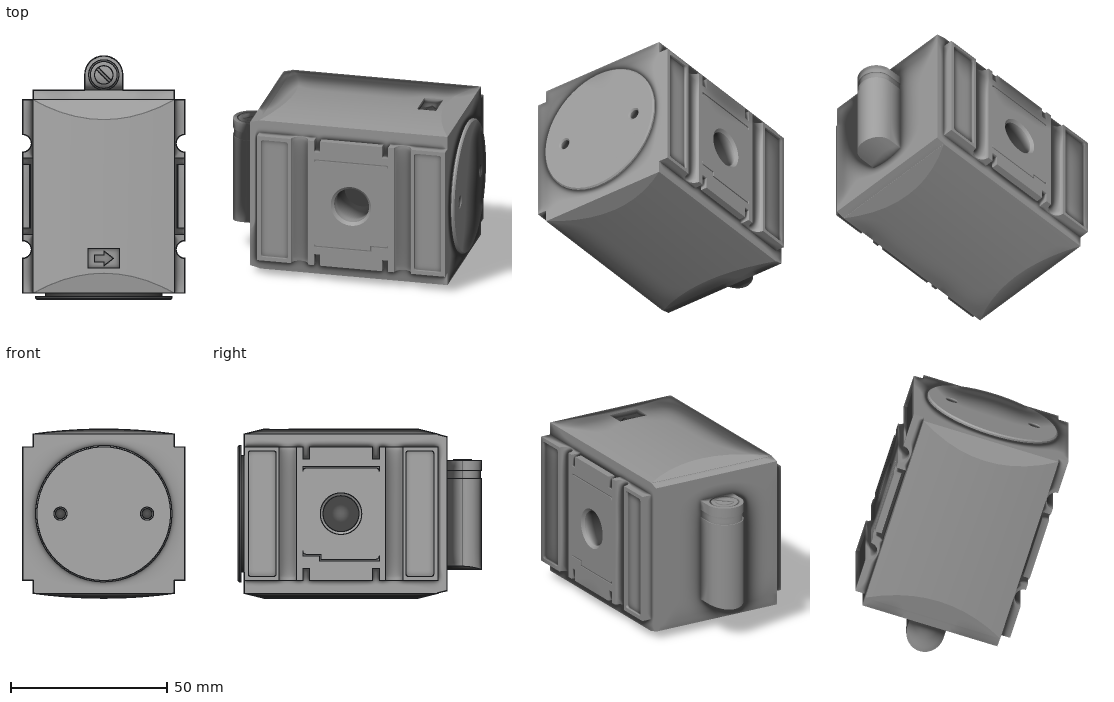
import cadquery as cq


body_width = 45.3
body_length = 62.0
body_edge_height = 51.0
crown_height = 54.19
crown_slope_run = 6.4
half_length = body_length / 2
crown_rise = (crown_height - body_edge_height) / 2
crown_slope = crown_rise / crown_slope_run

cover_length = 3.0
cover_step = 0.1
cover_back = half_length + cover_length

plate_outer_x = 26.0
plate_height = 42.7
plate_inner_x = body_width / 2
groove_radius = 2.8
groove_spacing = 34.0
pad_length = 8.9
pad_height = 40.2
pad_center_y = 25.25
pad_corner_radius = 0.8
pad_depth = 1.0

hook_span = 24.5
hook_notch_width = 2.1
hook_depth = 3.8
hook_gap_floor = 0.75
hook_gap_mouth = 1.15

insert_width = hook_span
insert_top = 15.1
insert_bottom = -15.1
insert_step_height = 1.6
insert_step_width = 5.4
seam_width = 0.5
seam_depth = 0.4
insert_corner_radius = 1.0

port_radius = 5.75
port_mouth_radius = 6.65
port_depth = 15.0

neck_radius = 18.7
neck_length = 1.0
cap_radius = 21.85
cap_thickness = 1.0
cap_chamfer = 0.45
spanner_hole_spacing = 27.75
spanner_hole_radius = 1.6
spanner_hole_chamfer = 0.5
spanner_hole_depth = 4.0

label_length_x = 10.2
label_length_y = 6.3
label_center_y = -19.85
label_depth = 1.6
arrow_depth = 0.6
arrow_tail_x = -3.0
arrow_tip_x = 3.1
arrow_shaft_half_width = 1.1
arrow_head_half_width = 2.4

lug_radius = 6.1
lug_end_y = 45.0
lug_center_y = lug_end_y - lug_radius
lug_bottom_radius = 17.9
lug_top = 17.05
lug_groove_top = 13.9
lug_groove_bottom = 11.3
lug_groove_depth = 0.3
ring_outer_radius = 4.85
ring_inner_radius = 4.3
ring_depth = 0.5
screw_radius = 2.95
screw_rise = 0.25
screw_slot_width = 0.9
screw_slot_depth = 0.5
screw_slot_angle = -45.0


def box(x_range, y_range, z_range):
    """Box spanning the given (low, high) ranges."""
    sizes = [high - low for low, high in (x_range, y_range, z_range)]
    corner = (x_range[0], y_range[0], z_range[0])
    return cq.Workplane("XY").box(*sizes, centered=False).translate(corner)


def y_cylinder(radius, start_y, length):
    """Cylinder about the Y axis, running from start_y toward +Y."""
    return cq.Workplane("XZ", origin=(0, start_y, 0)).circle(radius).extrude(-length)


def make_body():
    edge_z = body_edge_height / 2
    crown_z = crown_height / 2
    half_width = body_width / 2
    crowned = (
        cq.Workplane("XZ", origin=(0, half_length, 0))
        .moveTo(-half_width, -edge_z)
        .threePointArc((0, -crown_z), (half_width, -edge_z))
        .lineTo(half_width, edge_z)
        .threePointArc((0, crown_z), (-half_width, edge_z))
        .close()
        .extrude(body_length)
    )
    slope_start = half_length - crown_slope_run
    side_outline = (
        cq.Workplane("YZ")
        .polyline([
            (-half_length, -edge_z),
            (-slope_start, -crown_z),
            (slope_start, -crown_z),
            (half_length, -edge_z),
            (half_length, edge_z),
            (slope_start, crown_z),
            (-slope_start, crown_z),
            (-half_length, edge_z),
        ])
        .close()
        .extrude(half_width, both=True)
    )
    return crowned.intersect(side_outline)


def make_cover():
    front_z = body_edge_height / 2 - cover_step
    back_z = front_z - cover_length * crown_slope
    return (
        cq.Workplane("YZ")
        .polyline([
            (half_length, -front_z),
            (cover_back, -back_z),
            (cover_back, back_z),
            (half_length, front_z),
        ])
        .close()
        .extrude(body_width / 2, both=True)
    )


def make_hook_cut():
    """Two notches and the tapered gap joining them behind the upper bar of the -X plate."""
    half_span = hook_span / 2
    top = plate_height / 2
    floor = top - hook_depth
    cut = (
        cq.Workplane("XZ", origin=(0, half_span, 0))
        .polyline([
            (-plate_inner_x, floor),
            (-plate_inner_x - hook_gap_floor, floor),
            (-plate_inner_x - hook_gap_mouth, top),
            (-plate_inner_x, top),
        ])
        .close()
        .extrude(hook_span)
    )
    for notch_y in (-half_span, half_span - hook_notch_width):
        notch = box((-plate_outer_x, -plate_inner_x), (notch_y, notch_y + hook_notch_width), (floor, top))
        cut = cut.union(notch)
    return cut


def make_insert_outline(inset):
    """Stepped outline of the port insert, pulled in by inset along its top and bottom."""
    half_width = insert_width / 2
    top = insert_top - inset
    bottom = insert_bottom + inset
    step_y = -half_width + insert_step_width + inset
    step_z = bottom + insert_step_height
    return (
        cq.Workplane("YZ", origin=(-plate_outer_x, 0, 0))
        .polyline([
            (half_width, bottom),
            (half_width, top),
            (-half_width, top),
            (-half_width, step_z),
            (step_y, step_z),
            (step_y, bottom),
        ])
        .close()
        .extrude(seam_depth)
    )


def make_insert_seam():
    plug = make_insert_outline(seam_width)
    plug = plug.edges("|X").edges("<Y or >Y").fillet(insert_corner_radius)
    return make_insert_outline(0).cut(plug)


def make_plate():
    """Mounting plate on the -X side, without its port."""
    half_height = plate_height / 2
    plate = box(
        (-plate_outer_x, -plate_inner_x),
        (-half_length, half_length),
        (-half_height, half_height),
    )
    for side in (-1, 1):
        groove = (
            cq.Workplane("XY")
            .center(-plate_outer_x, side * groove_spacing / 2)
            .circle(groove_radius)
            .extrude(half_height, both=True)
        )
        pad = (
            cq.Workplane("YZ", origin=(-plate_outer_x, side * pad_center_y, 0))
            .rect(pad_length, pad_height)
            .extrude(pad_depth)
            .edges("|X")
            .fillet(pad_corner_radius)
        )
        plate = plate.cut(groove).cut(pad)
    upper_hook = make_hook_cut()
    return plate.cut(upper_hook).cut(upper_hook.mirror("XY")).cut(make_insert_seam())


def make_port_cut():
    """Blind port bored from the -X plate, with a 45 degree mouth."""
    mouth_depth = port_mouth_radius - port_radius
    return (
        cq.Workplane("XY")
        .polyline([
            (-plate_outer_x, 0),
            (-plate_outer_x, port_mouth_radius),
            (-plate_outer_x + mouth_depth, port_radius),
            (-plate_outer_x + port_depth, port_radius),
            (-plate_outer_x + port_depth, 0),
        ])
        .close()
        .revolve(360, (0, 0, 0), (1, 0, 0))
    )


def make_front_cap():
    cap_back = -half_length - neck_length
    cap_front = cap_back - cap_thickness
    cap = y_cylinder(cap_radius, cap_front, cap_thickness).faces("<Y").chamfer(cap_chamfer)
    neck = y_cylinder(neck_radius, cap_back, neck_length)
    return cap.union(neck)


def make_spanner_holes():
    cap_front = -half_length - neck_length - cap_thickness
    mouth_radius = spanner_hole_radius + spanner_hole_chamfer
    hole = (
        cq.Workplane("XY")
        .polyline([
            (0, cap_front),
            (mouth_radius, cap_front),
            (spanner_hole_radius, cap_front + spanner_hole_chamfer),
            (spanner_hole_radius, cap_front + spanner_hole_depth),
            (0, cap_front + spanner_hole_depth),
        ])
        .close()
        .revolve(360, (0, 0, 0), (0, 1, 0))
    )
    offset = spanner_hole_spacing / 2
    return hole.translate((-offset, 0, 0)).union(hole.translate((offset, 0, 0)))


def make_label_cut():
    """Label pocket with the flow arrow sunk into its floor."""
    floor_z = crown_height / 2 - label_depth
    label_plane = cq.Workplane("XY", origin=(0, label_center_y, floor_z))
    pocket = label_plane.rect(label_length_x, label_length_y).extrude(label_depth)
    arrow = (
        label_plane
        .polyline([
            (arrow_tail_x, -arrow_shaft_half_width),
            (0, -arrow_shaft_half_width),
            (0, -arrow_head_half_width),
            (arrow_tip_x, 0),
            (0, arrow_head_half_width),
            (0, arrow_shaft_half_width),
            (arrow_tail_x, arrow_shaft_half_width),
        ])
        .close()
        .extrude(-arrow_depth)
    )
    return pocket.union(arrow)


def make_lug_column(inset, bottom_z, top_z):
    """Round-ended column behind the cover, with its outline pulled in by inset."""
    radius = lug_radius - inset
    return (
        cq.Workplane("XY", origin=(0, 0, bottom_z))
        .moveTo(-radius, cover_back)
        .lineTo(-radius, lug_center_y)
        .threePointArc((0, lug_center_y + radius), (radius, lug_center_y))
        .lineTo(radius, cover_back)
        .close()
        .extrude(top_z - bottom_z)
    )


def make_lug():
    lower = make_lug_column(0, -lug_bottom_radius, lug_groove_bottom)
    rounding = y_cylinder(lug_bottom_radius, cover_back, lug_end_y - cover_back)
    waist = make_lug_column(lug_groove_depth, lug_groove_bottom, lug_groove_top)
    upper = make_lug_column(0, lug_groove_top, lug_top)
    ring_plane = cq.Workplane("XY", origin=(0, lug_center_y, lug_top))
    ring = ring_plane.circle(ring_outer_radius).circle(ring_inner_radius).extrude(-ring_depth)
    screw = ring_plane.circle(screw_radius).extrude(screw_rise)
    slot = (
        ring_plane.workplane(offset=screw_rise)
        .transformed(rotate=(0, 0, screw_slot_angle))
        .rect(2 * screw_radius, screw_slot_width)
        .extrude(-screw_slot_depth)
    )
    return lower.intersect(rounding).union(waist).union(upper).cut(ring).union(screw).cut(slot)


left_plate = make_plate()
left_port = make_port_cut()

result = make_body().union(make_cover()).union(make_front_cap()).union(make_lug())
result = result.union(left_plate).union(left_plate.mirror("YZ"))
result = result.cut(left_port).cut(left_port.mirror("YZ"))
result = result.cut(make_spanner_holes()).cut(make_label_cut())